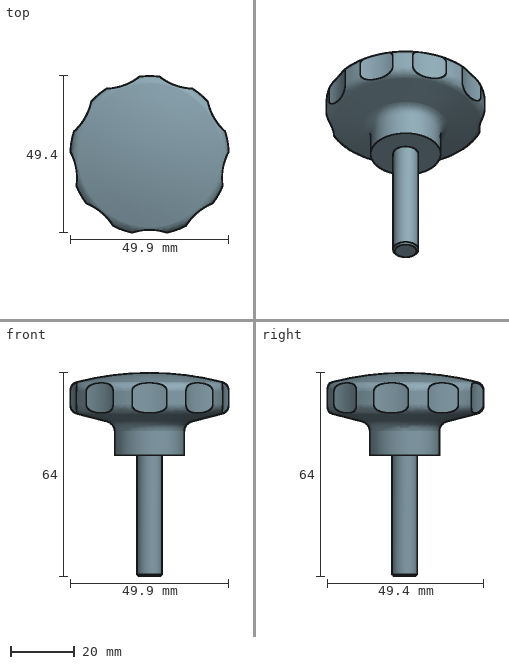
import cadquery as cq
import math


stud_diameter = 8.0
stud_length = 38.0
stud_chamfer = 0.6

hub_radius = 11.0
hub_height = 10.0
head_radius = 25.0
rim_bottom_z = 13.6
rim_top_z = 22.5
knob_height = 26.0
edge_rounding = 3.0
axis_tolerance = 0.1

scallop_count = 9
scallop_half_width = 5.5
scallop_floor_radius = 23.5


def make_knob_body():
    """Revolved hub and domed head, with rounded rim edges and neck."""
    dome_rise = knob_height - rim_top_z
    dome_radius = (head_radius**2 + dome_rise**2) / (2 * dome_rise)
    dome_mid_r = head_radius / 2
    dome_mid_z = knob_height - dome_radius + math.sqrt(dome_radius**2 - dome_mid_r**2)

    body = (
        cq.Workplane("XZ")
        .moveTo(0, 0)
        .lineTo(hub_radius, 0)
        .lineTo(hub_radius, hub_height)
        .lineTo(head_radius, rim_bottom_z)
        .lineTo(head_radius, rim_top_z)
        .threePointArc((dome_mid_r, dome_mid_z), (0, knob_height))
        .close()
        .revolve(360, (0, 0, 0), (0, 1, 0))
    )
    rounded_circles = cq.selectors.BoxSelector(
        (-axis_tolerance, -axis_tolerance, hub_height / 2),
        (axis_tolerance, axis_tolerance, knob_height),
    )
    return body.edges("%CIRCLE").edges(rounded_circles).fillet(edge_rounding)


def cut_scallops(body):
    """Shallow cylindrical finger grips, the first one facing -Y."""
    opening_distance = math.sqrt(head_radius**2 - scallop_half_width**2)
    depth = opening_distance - scallop_floor_radius
    scallop_radius = (scallop_half_width**2 + depth**2) / (2 * depth)
    axis_distance = scallop_floor_radius + scallop_radius

    for index in range(scallop_count):
        angle = math.radians(-90 + index * 360 / scallop_count)
        cutter = (
            cq.Workplane("XY")
            .center(axis_distance * math.cos(angle), axis_distance * math.sin(angle))
            .circle(scallop_radius)
            .extrude(knob_height)
        )
        body = body.cut(cutter)
    return body


def make_stud():
    """Plain stud hanging below the hub, chamfered at its free end."""
    return (
        cq.Workplane("XY")
        .circle(stud_diameter / 2)
        .extrude(-stud_length)
        .faces("<Z")
        .chamfer(stud_chamfer)
    )


result = cut_scallops(make_knob_body()).union(make_stud())